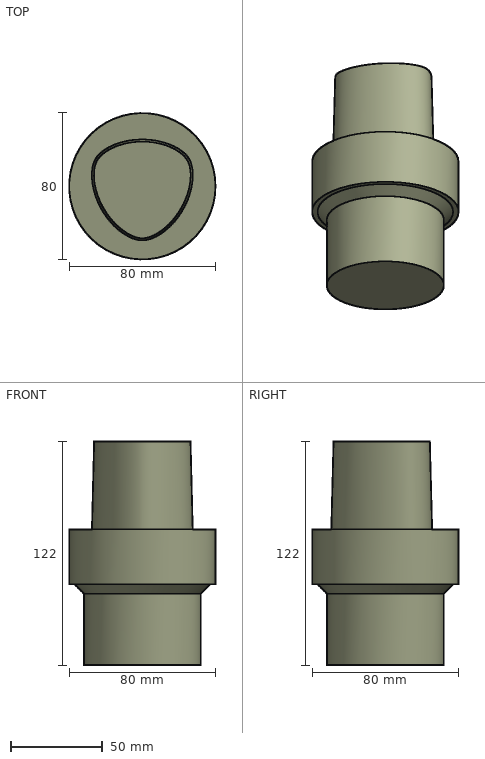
import cadquery as cq
import math

body_diameter = 64.0
body_height = 39.0

cone_height = 5.0
cone_top_diameter = body_diameter + 2 * cone_height

flange_diameter = 80.0
flange_height = 30.0

shank_gauge_width = 55.0
shank_gauge_height = 3.0
shank_height = 48.0
shank_taper = 1 / 20
shank_base_width = shank_gauge_width + shank_taper * shank_gauge_height
shank_top_width = shank_base_width - shank_taper * shank_height
lobe_eccentricity = 2.0
outline_points = 48

cone_bottom = body_height
flange_bottom = cone_bottom + cone_height
shank_bottom = flange_bottom + flange_height


def trilobe_point(width, angle):
    """Point on a constant-width curve with three lobes, one of them toward -Y."""
    reach = width / 2 + lobe_eccentricity * math.sin(3 * angle)
    reach_slope = 3 * lobe_eccentricity * math.cos(3 * angle)
    x = reach * math.cos(angle) - reach_slope * math.sin(angle)
    y = reach * math.sin(angle) + reach_slope * math.cos(angle)
    return x, y


def trilobe_wire(width, height):
    """Closed three-lobed outline at the given height."""
    points = []
    for index in range(outline_points):
        angle = 2 * math.pi * index / outline_points - math.pi / 2
        x, y = trilobe_point(width, angle)
        points.append(cq.Vector(x, y, height))
    return cq.Wire.assembleEdges([cq.Edge.makeSpline(points, periodic=True)])


def make_body():
    return cq.Workplane("XY").circle(body_diameter / 2).extrude(body_height)


def make_cone():
    return (
        cq.Workplane("XY", origin=(0, 0, cone_bottom))
        .circle(body_diameter / 2)
        .workplane(offset=cone_height)
        .circle(cone_top_diameter / 2)
        .loft(ruled=True)
    )


def make_flange():
    return (
        cq.Workplane("XY", origin=(0, 0, flange_bottom))
        .circle(flange_diameter / 2)
        .extrude(flange_height)
    )


def make_shank():
    base = trilobe_wire(shank_base_width, shank_bottom)
    top = trilobe_wire(shank_top_width, shank_bottom + shank_height)
    return cq.Workplane(cq.Solid.makeLoft([base, top], ruled=True))


result = make_body().union(make_cone()).union(make_flange()).union(make_shank())